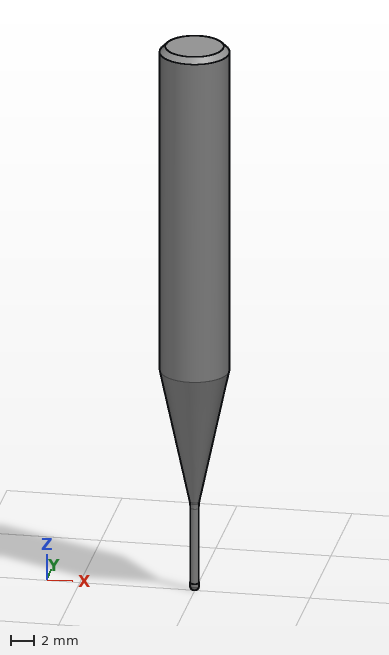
import cadquery as cq
import math

total_length = 50.0
shank_diameter = 6.0
shank_chamfer = 0.5

head_diameter = 0.8
head_length = 0.7

neck_diameter = 0.76
neck_top = 7.6
blend_radius = 4.0
blend_top = 8.05
taper_bottom = 8.2
taper_start_diameter = 0.86
taper_top = 20.3

shank_radius = shank_diameter / 2
head_radius = head_diameter / 2
neck_radius = neck_diameter / 2
taper_start_radius = taper_start_diameter / 2


def blend_point(angle):
    """Radius and height on the blend arc where its tangent leans outward by the given angle."""
    radius = neck_radius + blend_radius * (1 - math.cos(angle))
    height = neck_top + blend_radius * math.sin(angle)
    return radius, height


def make_shank():
    """Chamfered shank, cone, blend and slender neck turned as one body."""
    blend_angle = math.asin((blend_top - neck_top) / blend_radius)
    profile = (
        cq.Workplane("XZ")
        .moveTo(0, head_length)
        .lineTo(neck_radius, head_length)
        .lineTo(neck_radius, neck_top)
        .threePointArc(blend_point(blend_angle / 2), blend_point(blend_angle))
        .lineTo(taper_start_radius, taper_bottom)
        .lineTo(shank_radius, taper_top)
        .lineTo(shank_radius, total_length - shank_chamfer)
        .lineTo(shank_radius - shank_chamfer, total_length)
        .lineTo(0, total_length)
        .close()
    )
    return profile.revolve(360, (0, 0, 0), (0, 1, 0))


def make_cutting_head():
    """Short cylinder with a hemispherical tip, seated against the end of the neck."""
    arc_middle = (head_radius * math.sin(math.pi / 4), head_radius * (1 - math.cos(math.pi / 4)))
    profile = (
        cq.Workplane("XZ")
        .moveTo(0, 0)
        .threePointArc(arc_middle, (head_radius, head_radius))
        .lineTo(head_radius, head_length)
        .lineTo(0, head_length)
        .close()
    )
    return profile.revolve(360, (0, 0, 0), (0, 1, 0))


shank = make_shank()
cutting_head = make_cutting_head()
result = cq.Compound.makeCompound([shank.val(), cutting_head.val()])